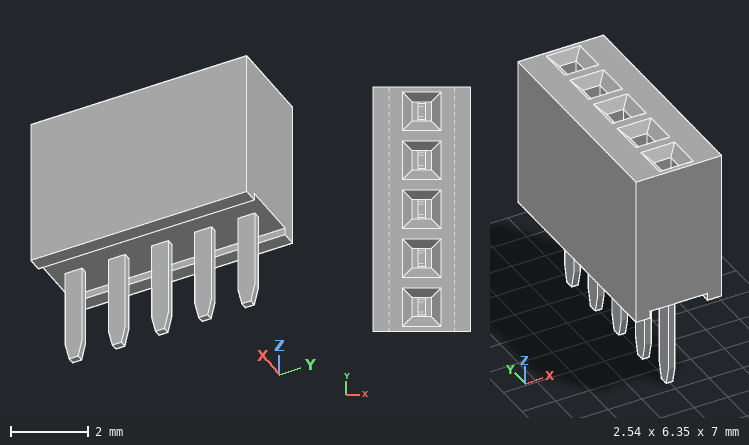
import cadquery as cq

contact_count = 5
total_height = 7.0
body_width = 2.54
body_length = 6.35
body_height = 4.4
pitch = body_length / contact_count

channel_width = 1.7
channel_depth = 0.21

mouth_size = 1.0
hole_size = 0.5
funnel_depth = 0.25
socket_depth = 2.52

slot_floor_length = 0.42
slot_depth = (hole_size - slot_floor_length) / 2

pin_thickness = 0.195
pin_width = 0.5
pin_tip_width = 0.265
pin_taper_length = 0.5

body_top = total_height
body_bottom = body_top - body_height
channel_roof = body_bottom + channel_depth
socket_floor = body_top - socket_depth

contact_positions = [(i - (contact_count - 1) / 2) * pitch for i in range(contact_count)]


def make_body():
    """Rectangular housing with the channel cut along its underside."""
    base = cq.Workplane("XY", origin=(0, 0, body_bottom))
    block = base.rect(body_width, body_length).extrude(body_height)
    channel = base.rect(channel_width, body_length).extrude(channel_depth)
    return block.cut(channel)


def make_socket(y):
    """Volume removed for one socket: funnel, square hole and sloped slot in the floor."""
    funnel = (
        cq.Workplane("XY", origin=(0, y, body_top))
        .rect(mouth_size, mouth_size)
        .workplane(offset=-funnel_depth)
        .rect(hole_size, hole_size)
        .loft(ruled=True)
    )
    hole = (
        cq.Workplane("XY", origin=(0, y, socket_floor))
        .rect(hole_size, hole_size)
        .extrude(socket_depth - funnel_depth)
    )
    slot_outline = [
        (-hole_size / 2, 0),
        (-slot_floor_length / 2, -slot_depth),
        (slot_floor_length / 2, -slot_depth),
        (hole_size / 2, 0),
    ]
    slot = (
        cq.Workplane("YZ", origin=(0, y, socket_floor))
        .polyline(slot_outline)
        .close()
        .extrude(pin_thickness / 2, both=True)
    )
    return funnel.union(hole).union(slot)


def make_pin(y):
    """Flat pin hanging from the channel roof, narrowed at the tip."""
    outline = [
        (-pin_width / 2, channel_roof),
        (-pin_width / 2, pin_taper_length),
        (-pin_tip_width / 2, 0),
        (pin_tip_width / 2, 0),
        (pin_width / 2, pin_taper_length),
        (pin_width / 2, channel_roof),
    ]
    return (
        cq.Workplane("YZ", origin=(0, y, 0))
        .polyline(outline)
        .close()
        .extrude(pin_thickness / 2, both=True)
    )


result = make_body()
for position in contact_positions:
    result = result.cut(make_socket(position)).union(make_pin(position))